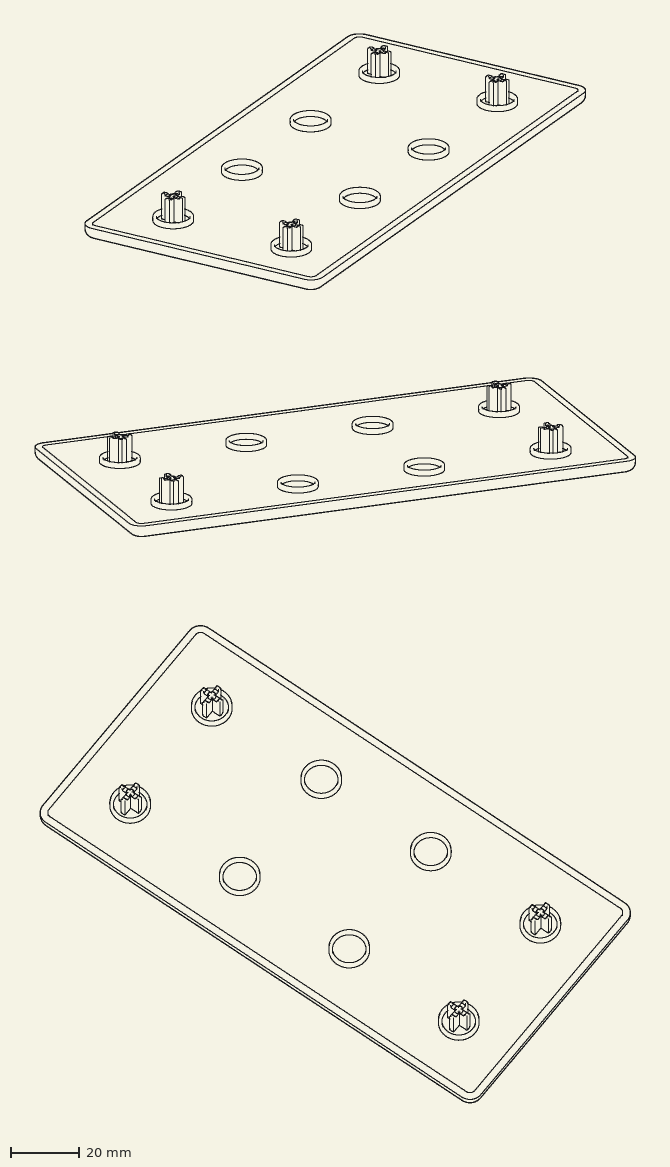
import cadquery as cq

length = 159.9
width = length / 2
plate_thickness = 4.0
corner_radius = 4.0
bottom_round = 2.4

rim_width = 2.2
recess_depth = 1.6
recess_floor_round = 0.3
floor_z = plate_thickness - recess_depth

grid_pitch = width / 2
column_count = 2
row_count = 4
ring_outer_diameter = 12.0
ring_inner_diameter = 9.9
ring_height = recess_depth
ring_round = 0.4

total_height = 10.5
pin_height = total_height - floor_z
pin_diameter = 7.2
pin_web = 1.5
groove_outer_diameter = 4.8
groove_inner_diameter = 2.5
groove_depth = 0.5
tip_round = 0.4


def rounded_slab(slab_width, slab_length, height, radius, bottom_z):
    """Slab with rounded vertical corners standing on bottom_z."""
    return (
        cq.Workplane("XY", origin=(0, 0, bottom_z))
        .rect(slab_width, slab_length)
        .extrude(height)
        .edges("|Z")
        .fillet(radius)
    )


def cover_plate():
    """Plate with a rounded underside and a shallow recess on top."""
    plate = rounded_slab(width, length, plate_thickness, corner_radius, 0)
    plate = plate.faces("<Z").edges().fillet(bottom_round)
    recess = rounded_slab(
        width - 2 * rim_width,
        length - 2 * rim_width,
        recess_depth,
        corner_radius - rim_width,
        floor_z,
    )
    recess = recess.faces("<Z").edges().fillet(recess_floor_round)
    return plate.cut(recess)


def rings():
    """Raised rings with rounded tops at every point of the grid."""
    return (
        cq.Workplane("XY", origin=(0, 0, floor_z))
        .rarray(grid_pitch, grid_pitch, column_count, row_count)
        .circle(ring_outer_diameter / 2)
        .circle(ring_inner_diameter / 2)
        .extrude(ring_height)
        .faces(">Z")
        .edges()
        .fillet(ring_round)
    )


def cross_pin():
    """One cross-shaped pin on the Z axis, standing on the recess floor."""
    base = cq.Workplane("XY", origin=(0, 0, floor_z))
    web_x = base.rect(pin_diameter, pin_web).extrude(pin_height)
    web_y = base.rect(pin_web, pin_diameter).extrude(pin_height)
    envelope = base.circle(pin_diameter / 2).extrude(pin_height)
    groove = (
        cq.Workplane("XY", origin=(0, 0, total_height - groove_depth))
        .circle(groove_outer_diameter / 2)
        .circle(groove_inner_diameter / 2)
        .extrude(groove_depth)
    )
    pin = web_x.union(web_y).intersect(envelope).cut(groove)
    return pin.faces(">Z").edges().fillet(tip_round)


result = cover_plate().union(rings())

pin = cross_pin()
pin_x = grid_pitch * (column_count - 1) / 2
pin_y = grid_pitch * (row_count - 1) / 2
for x in (-pin_x, pin_x):
    for y in (-pin_y, pin_y):
        result = result.union(pin.translate((x, y, 0)))